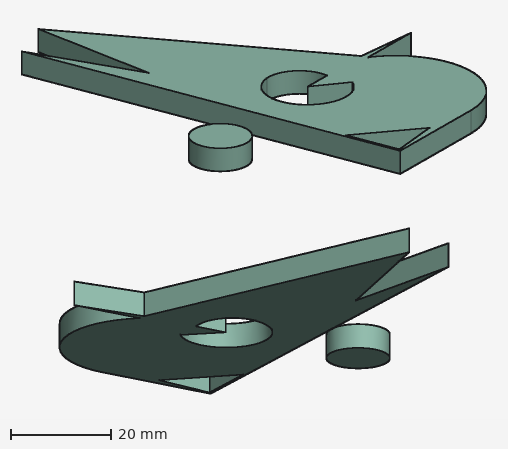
import cadquery as cq
import math

LENGTH = 95.0
THICKNESS = 5.0

NOSE_Y = 11.4
MOUTH_CORNER = (31.0, 5.0)
JAW_TIP_X = 3.7
BROW = (61.2, 36.1)
SPIKE_X = 62.7
SPIKE_TIP_Y = 51.6

BACK_RADIUS = 18.0
BACK_CENTER_X = LENGTH - BACK_RADIUS
BACK_CENTER_Y = 25.2

EYE_X = BROW[0]
EYE_TONGUE_Y = 17.0
EYE_TOP_Y = 23.9
EYE_BOTTOM_Y = 7.7
EYE_LEFT = (51.95, 16.05)
EYE_UPPER_LEFT = (54.3, 22.1)
EYE_CORNER_X = 67.2

WINDOW_WALL = 0.6
WINDOW_LEFT_X = 81.5
WINDOW_TOP = (93.2, 13.1)

DISC_RADIUS = 6.4
DISC_X = EYE_X - 0.2
DISC_Y = -13.8


def back_point(angle):
    """Point on the rounded back at an angle in radians from +X."""
    return (
        BACK_CENTER_X + BACK_RADIUS * math.cos(angle),
        BACK_CENTER_Y + BACK_RADIUS * math.sin(angle),
    )


def make_outline():
    """Solid head plate with open mouth, spike and rounded back."""
    spike_root_angle = math.acos((SPIKE_X - BACK_CENTER_X) / BACK_RADIUS)
    return (
        cq.Workplane("XY")
        .moveTo(JAW_TIP_X, 0)
        .lineTo(LENGTH, 0)
        .lineTo(*back_point(0))
        .threePointArc(back_point(spike_root_angle / 2), back_point(spike_root_angle))
        .lineTo(SPIKE_X, SPIKE_TIP_Y)
        .lineTo(*BROW)
        .lineTo(0, NOSE_Y)
        .lineTo(*MOUTH_CORNER)
        .close()
        .extrude(THICKNESS)
    )


def make_eye_cutter():
    """Prism of the eye opening, notched by its tongue."""
    return (
        cq.Workplane("XY")
        .moveTo(EYE_X, EYE_TONGUE_Y)
        .lineTo(EYE_X, EYE_TOP_Y)
        .threePointArc(EYE_UPPER_LEFT, EYE_LEFT)
        .threePointArc((EYE_X, EYE_BOTTOM_Y), (EYE_CORNER_X, EYE_TOP_Y))
        .close()
        .extrude(THICKNESS)
    )


def make_window_cutter():
    """Prism of the triangular window."""
    return (
        cq.Workplane("XY")
        .moveTo(WINDOW_LEFT_X, WINDOW_WALL)
        .lineTo(LENGTH - WINDOW_WALL, WINDOW_WALL)
        .lineTo(*WINDOW_TOP)
        .close()
        .extrude(THICKNESS)
    )


def make_head():
    """Head plate with its two through openings."""
    return make_outline().cut(make_eye_cutter()).cut(make_window_cutter())


def make_disc():
    """Loose round disc, as thick as the head."""
    return cq.Workplane("XY").center(DISC_X, DISC_Y).circle(DISC_RADIUS).extrude(THICKNESS)


head = make_head()
disc = make_disc()

result = cq.Compound.makeCompound([head.val(), disc.val()])